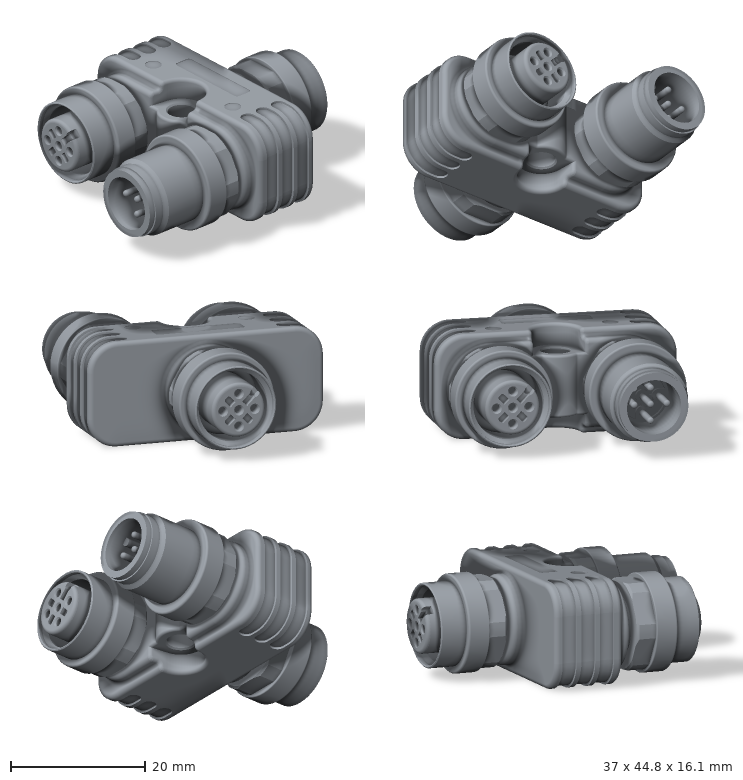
import cadquery as cq
import math

PICK_MARGIN = 0.1
OVERRUN = 1.0

BLOCK_LENGTH = 37.0
BLOCK_HEIGHT = 16.1
BLOCK_REAR = 10.1
BLOCK_FRONT = -0.75
BLOCK_CORNER_RADIUS = 4.5
BLOCK_EDGE_RADIUS = 0.7

PORT_SPACING = 20.5
COLLAR_DIAMETER = 13.65
COLLAR_LENGTH = 1.9
COLLAR_EDGE_RADIUS = 0.75
COLLAR_ROOT_RADIUS = 0.45
COLLAR_FRONT = BLOCK_FRONT - COLLAR_LENGTH
COLLAR_REAR = BLOCK_REAR + COLLAR_LENGTH

EYE_HEIGHT = 9.5
EYE_DIAMETER = 7.5
EYE_HOLE_DIAMETER = 4.2
EYE_EDGE_RADIUS = 0.4
EYE_HOLE_CHAMFER = 0.25
EYE_ROOT_RADIUS = 0.4
POCKET_RADIUS = 3.65
POCKET_FLARE = math.radians(7.5)
POCKET_MOUTH_HALF_WIDTH = POCKET_RADIUS / math.cos(POCKET_FLARE) - COLLAR_FRONT * math.tan(POCKET_FLARE)
POCKET_EDGE_RADIUS = 0.55

GRIP_COUNT = 3
GRIP_WIDTH = 2.25
GRIP_PITCH = 3.02
GRIP_REACH = 11.8
GRIP_DEPTH = 0.4
GRIP_TOP_DEPTH = 0.35
GRIP_MIDDLE_Y = 4.8

LABEL_LENGTH = 14.0
LABEL_WIDTH = 2.9
LABEL_CORNER_RADIUS = 0.5
LABEL_Y = 6.2
MARK_DIAMETER = 2.5
MARK_SPACING = 17.9
MARK_Y = 2.25
LABEL_DEPTH = 0.1

NUT_START = 1.0
RING_START = 4.0
RING_END = 7.4
SLEEVE_END = 11.4
SOCKET_END = 12.75
PLUG_BODY_END = 14.2
PLUG_TAPER_END = 14.9
PLUG_STEP = 16.35
PLUG_END = 17.35

NECK_DIAMETER = 9.3
NUT_ACROSS_FLATS = 13.2
NUT_DIAMETER = 14.15
NUT_CHAMFER = 0.35
RING_DIAMETER = 15.0
RING_REAR_EDGE_RADIUS = 0.15
RING_FRONT_EDGE_RADIUS = 0.3
NECK_OVERLAP = 0.5

CONTACT_CIRCLE_RADIUS = 2.5

SLEEVE_DIAMETER = 12.8
SLEEVE_EDGE_CHAMFER = 0.15
SLEEVE_MOUTH_DIAMETER = 12.3
SLEEVE_BORE_DIAMETER = 12.0
SLEEVE_SEAT_DIAMETER = 10.8
SLEEVE_MOUTH_DEPTH = 0.8
SLEEVE_TAPER_LENGTH = 0.6
SLEEVE_BORE_DEPTH = 6.0
SOCKET_DIAMETER = 8.3
SOCKET_EDGE_RADIUS = 0.55
SOCKET_KEY_ANGLE = 45
SOCKET_KEY_RADIUS = 0.7
SOCKET_KEY_CENTER = 3.5
SOCKET_KEY_DEPTH = 4.0
CONTACT_HOLE_DIAMETER = 1.15
CONTACT_HOLE_CHAMFER = 0.22
CONTACT_HOLE_DEPTH = 4.0
SLOT_INNER_RADIUS = 1.3
SLOT_OUTER_RADIUS = 2.8
SLOT_WIDTH = 1.05
SLOT_CORNER_RADIUS = 0.3
SLOT_DEPTH = 0.8

PLUG_DIAMETER = 12.0
PLUG_STEP_DIAMETER = 10.95
PLUG_TIP_DIAMETER = 10.5
PLUG_BORE_DIAMETER = 8.3
PLUG_BORE_DEPTH = 8.0
PIN_DIAMETER = 1.0
PIN_TIP_RADIUS = 0.45
PIN_LENGTH = 5.5
BASE_DIAMETER = 7.5
BASE_HEIGHT = 0.8
RECESS_RADIUS = 3.55
RECESS_DEPTH = 0.5
COLLET_RADIUS = 1.05
WEB_THICKNESS = 0.4
PLUG_KEY_ANGLE = 180 - SOCKET_KEY_ANGLE
PLUG_KEY_RADIUS = 0.62
PLUG_KEY_CENTER = 3.6
PLUG_KEY_LENGTH = 4.5
KEY_RECESS_RADIUS = 0.6
KEY_RECESS_CENTER = 2.0


def section(y):
    """Cross-section facing +Y, with x to the right and Z up for someone facing the part."""
    return cq.Workplane(cq.Plane(origin=(0, y, 0), xDir=(-1, 0, 0), normal=(0, 1, 0)))


def cylinder(diameter, start, end):
    """Round bar on the Y axis from start to end."""
    return section(start).circle(diameter / 2).extrude(end - start)


def make_block():
    block = (
        cq.Workplane("XZ", origin=(0, BLOCK_REAR, 0))
        .rect(BLOCK_LENGTH, BLOCK_HEIGHT)
        .extrude(BLOCK_REAR - BLOCK_FRONT)
        .edges("|Y")
        .fillet(BLOCK_CORNER_RADIUS)
        .faces("<Y or >Y")
        .edges()
        .fillet(BLOCK_EDGE_RADIUS)
    )
    front_collar = (
        cq.Workplane("XZ", origin=(0, BLOCK_FRONT + BLOCK_EDGE_RADIUS, 0))
        .slot2D(PORT_SPACING + COLLAR_DIAMETER, COLLAR_DIAMETER)
        .extrude(COLLAR_LENGTH + BLOCK_EDGE_RADIUS)
        .faces("<Y")
        .edges()
        .fillet(COLLAR_EDGE_RADIUS)
    )
    rear_collar = (
        cylinder(COLLAR_DIAMETER, BLOCK_REAR - BLOCK_EDGE_RADIUS, COLLAR_REAR)
        .faces(">Y")
        .edges()
        .fillet(COLLAR_EDGE_RADIUS)
    )
    block = block.union(front_collar).union(rear_collar)
    for face_y, collar_reach in ((BLOCK_FRONT, PORT_SPACING / 2), (BLOCK_REAR, 0)):
        reach = collar_reach + COLLAR_DIAMETER / 2 + PICK_MARGIN
        height = COLLAR_DIAMETER / 2 + PICK_MARGIN
        root = cq.selectors.BoxSelector(
            (-reach, face_y - PICK_MARGIN, -height),
            (reach, face_y + PICK_MARGIN, height),
            boundingbox=True,
        )
        block = block.edges(root).fillet(COLLAR_ROOT_RADIUS)
    return block


def make_pocket():
    """Arched pocket above the eye, open to the front and slightly flared there."""
    arc_x = POCKET_RADIUS * math.cos(POCKET_FLARE)
    arc_y = POCKET_RADIUS * math.sin(POCKET_FLARE)
    return (
        cq.Workplane("XY", origin=(0, 0, EYE_HEIGHT / 2))
        .moveTo(-POCKET_MOUTH_HALF_WIDTH, COLLAR_FRONT)
        .lineTo(-arc_x, arc_y)
        .threePointArc((0, POCKET_RADIUS), (arc_x, arc_y))
        .lineTo(POCKET_MOUTH_HALF_WIDTH, COLLAR_FRONT)
        .close()
        .extrude(BLOCK_HEIGHT / 2)
    )


def pocket_rim_box(side):
    """Selects what lies around a pocket, clear of its floor."""
    reach = POCKET_MOUTH_HALF_WIDTH + PICK_MARGIN
    return cq.selectors.BoxSelector(
        (-reach, COLLAR_FRONT - PICK_MARGIN, side * (EYE_HEIGHT / 2 + PICK_MARGIN)),
        (reach, POCKET_RADIUS + PICK_MARGIN, side * BLOCK_HEIGHT),
    )


def make_eye_hole():
    half_height = EYE_HEIGHT / 2
    radius = EYE_HOLE_DIAMETER / 2
    return (
        cq.Workplane("XZ")
        .moveTo(0, -half_height)
        .lineTo(radius + EYE_HOLE_CHAMFER, -half_height)
        .lineTo(radius, -half_height + EYE_HOLE_CHAMFER)
        .lineTo(radius, half_height - EYE_HOLE_CHAMFER)
        .lineTo(radius + EYE_HOLE_CHAMFER, half_height)
        .lineTo(0, half_height)
        .close()
        .revolve(360, (0, 0), (0, 1))
    )


def add_eye(body):
    eye = (
        cq.Workplane("XY", origin=(0, 0, -EYE_HEIGHT / 2))
        .circle(EYE_DIAMETER / 2)
        .extrude(EYE_HEIGHT)
    )
    pocket = make_pocket()
    body = body.cut(pocket).cut(pocket.mirror("XY")).union(eye)
    eye_radius = EYE_DIAMETER / 2
    roots = cq.selectors.BoxSelector(
        (-eye_radius, COLLAR_FRONT - PICK_MARGIN, -PICK_MARGIN),
        (eye_radius, COLLAR_FRONT + PICK_MARGIN, PICK_MARGIN),
    )
    body = body.edges("|Z").edges(roots).fillet(EYE_ROOT_RADIUS)
    for side in (-1, 1):
        body = body.edges(pocket_rim_box(side)).fillet(POCKET_EDGE_RADIUS)
    for side in (-1, 1):
        front = cq.selectors.BoxSelector(
            (-EYE_DIAMETER, -EYE_DIAMETER, side * (EYE_HEIGHT / 2 - PICK_MARGIN)),
            (EYE_DIAMETER, COLLAR_FRONT + PICK_MARGIN, side * (EYE_HEIGHT / 2 + PICK_MARGIN)),
        )
        body = body.edges(front).fillet(EYE_EDGE_RADIUS)
    return body.cut(make_eye_hole())


def cut_grips(body):
    core = (
        cq.Workplane("XZ", origin=(0, BLOCK_REAR, 0))
        .rect(BLOCK_LENGTH - 2 * GRIP_DEPTH, BLOCK_HEIGHT - 2 * GRIP_TOP_DEPTH)
        .extrude(BLOCK_REAR - BLOCK_FRONT)
        .edges("|Y")
        .fillet(BLOCK_CORNER_RADIUS - GRIP_TOP_DEPTH)
    )
    slot_length = BLOCK_LENGTH
    slot_x = GRIP_REACH + slot_length / 2
    for side in (-1, 1):
        for index in range(GRIP_COUNT):
            y = GRIP_MIDDLE_Y + (index - (GRIP_COUNT - 1) / 2) * GRIP_PITCH
            slot = (
                cq.Workplane("XY", origin=(side * slot_x, y, -BLOCK_HEIGHT))
                .slot2D(slot_length, GRIP_WIDTH)
                .extrude(2 * BLOCK_HEIGHT)
            )
            body = body.cut(slot.cut(core))
    return body


def cut_labels(body):
    top = cq.Workplane("XY", origin=(0, 0, BLOCK_HEIGHT / 2 - LABEL_DEPTH))
    label = (
        top.center(0, LABEL_Y)
        .rect(LABEL_LENGTH, LABEL_WIDTH)
        .extrude(OVERRUN)
        .edges("|Z")
        .fillet(LABEL_CORNER_RADIUS)
    )
    marks = (
        top.pushPoints([(-MARK_SPACING / 2, MARK_Y), (MARK_SPACING / 2, MARK_Y)])
        .circle(MARK_DIAMETER / 2)
        .extrude(OVERRUN)
    )
    return body.cut(label).cut(marks)


def make_coupling():
    """Neck, chamfered hexagon nut and ring shared by every connector."""
    neck = cylinder(NECK_DIAMETER, -NECK_OVERLAP, NUT_START)
    hexagon = (
        cq.Workplane("XZ", origin=(0, RING_START, 0))
        .polygon(6, NUT_ACROSS_FLATS / math.cos(math.pi / 6))
        .extrude(RING_START - NUT_START)
    )
    envelope = cylinder(NUT_DIAMETER, NUT_START, RING_START).faces("<Y").chamfer(NUT_CHAMFER)
    ring = (
        cylinder(RING_DIAMETER, RING_START, RING_END)
        .faces("<Y")
        .edges()
        .fillet(RING_REAR_EDGE_RADIUS)
        .faces(">Y")
        .edges()
        .fillet(RING_FRONT_EDGE_RADIUS)
    )
    return neck.union(hexagon.intersect(envelope)).union(ring)


def contact_points():
    r = CONTACT_CIRCLE_RADIUS
    return [(0, 0), (r, 0), (0, r), (-r, 0), (0, -r)]


def turn(shape, degrees):
    """Turns a shape about the Y axis, counter-clockwise for someone facing the part."""
    return shape.rotate((0, 0, 0), (0, 1, 0), degrees)


def make_sleeve_cavity():
    """Stepped bore around the insert, its floor bulging into a rounded seal ring."""
    floor = SLEEVE_END - SLEEVE_BORE_DEPTH
    seat_radius = SLEEVE_SEAT_DIAMETER / 2
    bore_radius = SLEEVE_BORE_DIAMETER / 2
    mouth_radius = SLEEVE_MOUTH_DIAMETER / 2
    insert_radius = SOCKET_DIAMETER / 2
    seal_radius = (seat_radius - insert_radius) / 2
    taper_end = SLEEVE_END - SLEEVE_MOUTH_DEPTH
    return (
        cq.Workplane("XY")
        .moveTo(insert_radius, floor)
        .threePointArc((insert_radius + seal_radius, floor + seal_radius), (seat_radius, floor))
        .lineTo(seat_radius, taper_end - SLEEVE_TAPER_LENGTH)
        .lineTo(bore_radius, taper_end)
        .lineTo(bore_radius, SLEEVE_END - (mouth_radius - bore_radius))
        .lineTo(mouth_radius, SLEEVE_END)
        .lineTo(insert_radius, SLEEVE_END)
        .close()
        .revolve(360, (0, 0), (0, 1))
    )


def make_socket_slots():
    """Diagonal slots in the insert's face; the upper right one runs out into the key groove."""
    length = SLOT_OUTER_RADIUS - SLOT_INNER_RADIUS
    slot = (
        section(SOCKET_END - SLOT_DEPTH)
        .center((SLOT_INNER_RADIUS + SLOT_OUTER_RADIUS) / 2, 0)
        .rect(length, SLOT_WIDTH)
        .extrude(SLOT_DEPTH)
    )
    rounded_slot = slot.edges("|Y and <X").fillet(SLOT_CORNER_RADIUS)
    key_link = (
        section(SOCKET_END - SLOT_DEPTH)
        .center((SLOT_INNER_RADIUS + SOCKET_KEY_CENTER) / 2, 0)
        .rect(SOCKET_KEY_CENTER - SLOT_INNER_RADIUS, SLOT_WIDTH)
        .extrude(SLOT_DEPTH)
    )
    key_groove = (
        section(SOCKET_END - SOCKET_KEY_DEPTH)
        .center(SOCKET_KEY_CENTER + SOCKET_DIAMETER / 2, 0)
        .slot2D(SOCKET_DIAMETER + 2 * SOCKET_KEY_RADIUS, 2 * SOCKET_KEY_RADIUS)
        .extrude(SOCKET_KEY_DEPTH)
    )
    slots = turn(key_link.union(key_groove), SOCKET_KEY_ANGLE)
    for step in (90, 180, 270):
        slots = slots.union(turn(rounded_slot, SOCKET_KEY_ANGLE + step))
    return slots


def make_insert():
    floor = SLEEVE_END - SLEEVE_BORE_DEPTH
    insert = (
        cylinder(SOCKET_DIAMETER, floor, SOCKET_END)
        .faces(">Y")
        .edges()
        .fillet(SOCKET_EDGE_RADIUS)
        .cut(make_socket_slots())
    )
    holes = (
        section(SOCKET_END - CONTACT_HOLE_DEPTH)
        .pushPoints(contact_points())
        .circle(CONTACT_HOLE_DIAMETER / 2)
        .extrude(CONTACT_HOLE_DEPTH)
    )
    mouths = (
        section(SOCKET_END)
        .pushPoints(contact_points())
        .circle(CONTACT_HOLE_DIAMETER / 2 + CONTACT_HOLE_CHAMFER)
        .extrude(-CONTACT_HOLE_CHAMFER, taper=45)
    )
    return insert.cut(holes).cut(mouths)


def make_socket():
    sleeve = cylinder(SLEEVE_DIAMETER, RING_END, SLEEVE_END).faces(">Y").chamfer(SLEEVE_EDGE_CHAMFER)
    return make_coupling().union(sleeve).cut(make_sleeve_cavity()).union(make_insert())


def make_plug_recesses(top):
    """Three fan-shaped recesses between the contacts and a rounded one towards the key."""
    base = section(top - RECESS_DEPTH)
    fans = base.circle(RECESS_RADIUS).extrude(RECESS_DEPTH)
    webs = (
        base.rect(2 * RECESS_RADIUS, WEB_THICKNESS)
        .extrude(RECESS_DEPTH)
        .union(base.rect(WEB_THICKNESS, 2 * RECESS_RADIUS).extrude(RECESS_DEPTH))
    )
    collets = base.pushPoints(contact_points()).circle(COLLET_RADIUS).extrude(RECESS_DEPTH)
    key_quarter = (
        base.center(-RECESS_RADIUS / 2, RECESS_RADIUS / 2)
        .rect(RECESS_RADIUS, RECESS_RADIUS)
        .extrude(RECESS_DEPTH)
    )
    fans = fans.cut(webs).cut(collets).cut(key_quarter)
    collet_bar = (
        base.center(1.5 * CONTACT_CIRCLE_RADIUS, 0)
        .rect(CONTACT_CIRCLE_RADIUS, 2 * COLLET_RADIUS)
        .extrude(RECESS_DEPTH)
    )
    for angle in (0, 90, 180, 270):
        fans = fans.cut(turn(collet_bar, angle))
    key_recess = (
        base.center(KEY_RECESS_CENTER / 2, 0)
        .slot2D(KEY_RECESS_CENTER + 2 * KEY_RECESS_RADIUS, 2 * KEY_RECESS_RADIUS)
        .extrude(RECESS_DEPTH)
    )
    return fans.union(turn(key_recess, PLUG_KEY_ANGLE).cut(collets))


def make_plug_insert(floor):
    top = floor + BASE_HEIGHT
    insert = cylinder(BASE_DIAMETER, floor, top).cut(make_plug_recesses(top))
    pins = (
        section(floor)
        .pushPoints(contact_points())
        .circle(PIN_DIAMETER / 2)
        .extrude(BASE_HEIGHT + PIN_LENGTH)
        .faces(">Y")
        .edges()
        .fillet(PIN_TIP_RADIUS)
    )
    key = (
        section(floor)
        .center(PLUG_KEY_CENTER + PLUG_KEY_RADIUS, 0)
        .slot2D(4 * PLUG_KEY_RADIUS, 2 * PLUG_KEY_RADIUS)
        .extrude(BASE_HEIGHT + PLUG_KEY_LENGTH)
    )
    return insert.union(pins).union(turn(key, PLUG_KEY_ANGLE))


def make_plug():
    shell = (
        cq.Workplane("XY")
        .moveTo(0, RING_END)
        .lineTo(PLUG_DIAMETER / 2, RING_END)
        .lineTo(PLUG_DIAMETER / 2, PLUG_BODY_END)
        .lineTo(PLUG_STEP_DIAMETER / 2, PLUG_TAPER_END)
        .lineTo(PLUG_STEP_DIAMETER / 2, PLUG_STEP)
        .lineTo(PLUG_TIP_DIAMETER / 2, PLUG_STEP)
        .lineTo(PLUG_TIP_DIAMETER / 2, PLUG_END)
        .lineTo(0, PLUG_END)
        .close()
        .revolve(360, (0, 0), (0, 1))
    )
    floor = PLUG_END - PLUG_BORE_DEPTH
    shell = shell.cut(cylinder(PLUG_BORE_DIAMETER, floor, PLUG_END))
    return make_coupling().union(shell).union(make_plug_insert(floor))


def face_front(connector, x):
    return connector.rotate((0, 0, 0), (0, 0, 1), 180).translate((x, COLLAR_FRONT, 0))


socket = make_socket()
plug = make_plug()
body = cut_labels(cut_grips(add_eye(make_block())))
result = (
    body.union(socket.translate((0, COLLAR_REAR, 0)))
    .union(face_front(socket, -PORT_SPACING / 2))
    .union(face_front(plug, PORT_SPACING / 2))
)